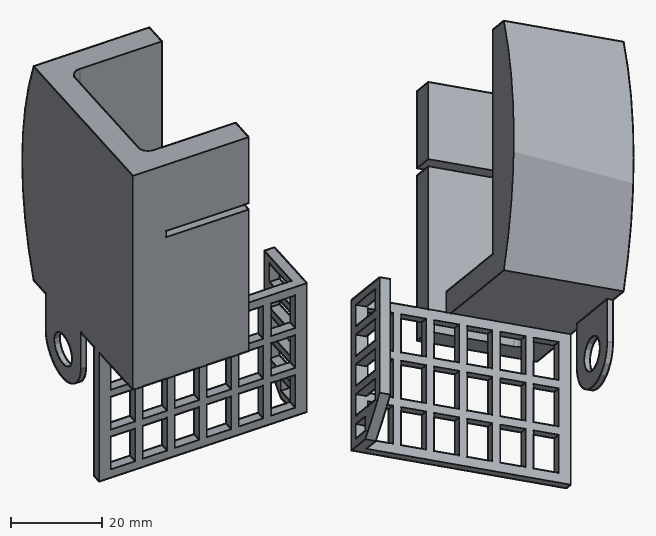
import cadquery as cq
import math

total_height = 94.75
total_depth = 52.0

housing_width = 45.2
housing_depth = 29.0
housing_bow = 5.2
back_wall = 6.0
right_wall = 6.0
left_wall = 5.8
floor_thickness = 6.0
channel_fillet = 2.4

slit_height = 1.7
slit_drop = 18.3

panel_height = 35.6
panel_thickness = 2.4
panel_inset = 15.35
panel_columns = 6
panel_rows = 3
panel_hole_width = 6.1
panel_hole_height = 9.0
panel_side_margin = 2.9
panel_pitch_z = 11.0

flange_width = 14.8
flange_thickness = 2.6
flange_corner_width = 7.5
flange_corner_height = 8.2
flange_corner_bow = 0.2
flange_border = 2.4
flange_bar = 2.0
full_window_count = 4
last_window_width = 4.8
last_window_height = 3.4

lug_width = 15.9
lug_thickness = 1.4
lug_inset = 31.7
lug_drop = 10.0
pin_diameter = 8.0

housing_bottom = panel_height
housing_height = total_height - housing_bottom
panel_right = housing_width - panel_inset
panel_left = panel_right - panel_thickness
flange_left = panel_right - flange_width
flange_front = total_depth - flange_thickness
panel_pitch_y = (total_depth - 2 * panel_side_margin - panel_hole_width) / (panel_columns - 1)
flange_pitch = (panel_height - 2 * flange_bar - last_window_height) / full_window_count


def box(x_range, y_range, z_range):
    """Axis-aligned box between the given (low, high) limits."""
    sizes = [high - low for low, high in (x_range, y_range, z_range)]
    corner = (x_range[0], y_range[0], z_range[0])
    return cq.Workplane("XY").box(*sizes, centered=False).translate(corner)


def extrude_along_y(profile, y_start, thickness):
    """Extrude a closed XZ profile toward +Y, starting at y_start."""
    return profile.extrude(-thickness).translate((0, y_start, 0))


def make_housing():
    profile = (
        cq.Workplane("XZ")
        .moveTo(0, housing_bottom)
        .lineTo(housing_width, housing_bottom)
        .lineTo(housing_width, total_height)
        .lineTo(0, total_height)
        .threePointArc((-housing_bow, housing_bottom + housing_height / 2), (0, housing_bottom))
        .close()
    )
    body = extrude_along_y(profile, 0, housing_depth)

    channel_right = housing_width - right_wall
    channel = box(
        (left_wall, channel_right),
        (back_wall, housing_depth),
        (housing_bottom, total_height),
    )
    channel = channel.edges("|Z and <Y").fillet(channel_fillet)

    floor = box(
        (left_wall, panel_right),
        (back_wall, housing_depth),
        (housing_bottom, housing_bottom + floor_thickness),
    )

    slit_top = total_height - slit_drop
    slit = box(
        (channel_right, housing_width),
        (back_wall + channel_fillet, housing_depth),
        (slit_top - slit_height, slit_top),
    )
    return body.cut(channel).cut(slit).union(floor)


def make_panel():
    panel = box((panel_left, panel_right), (0, total_depth), (0, panel_height))
    holes = (
        cq.Workplane("YZ", origin=(panel_left, total_depth / 2, panel_height / 2))
        .rarray(panel_pitch_y, panel_pitch_z, panel_columns, panel_rows)
        .rect(panel_hole_width, panel_hole_height)
        .extrude(panel_thickness)
    )
    return panel.cut(holes)


def make_flange():
    corner_start = (flange_left, flange_corner_height)
    corner_end = (flange_left + flange_corner_width, 0)
    corner_length = math.hypot(flange_corner_width, flange_corner_height)
    corner_middle = (
        flange_left + flange_corner_width / 2
        - flange_corner_bow * flange_corner_height / corner_length,
        flange_corner_height / 2
        - flange_corner_bow * flange_corner_width / corner_length,
    )
    profile = (
        cq.Workplane("XZ")
        .moveTo(flange_left, panel_height)
        .lineTo(*corner_start)
        .threePointArc(corner_middle, corner_end)
        .lineTo(panel_left, 0)
        .lineTo(panel_left, panel_height)
        .close()
    )
    flange = extrude_along_y(profile, flange_front, flange_thickness)

    flange_y = (flange_front, total_depth)
    for index in range(full_window_count):
        window_top = panel_height - flange_bar - index * flange_pitch
        window_bottom = window_top - (flange_pitch - flange_bar)
        window_x = (flange_left + flange_border, panel_left)
        flange = flange.cut(box(window_x, flange_y, (window_bottom, window_top)))

    last_window_x = (panel_left - last_window_width, panel_left)
    last_window_z = (flange_bar, flange_bar + last_window_height)
    return flange.cut(box(last_window_x, flange_y, last_window_z))


def make_lug():
    axis_x = housing_width - lug_inset
    axis_z = housing_bottom - lug_drop
    radius = lug_width / 2
    profile = (
        cq.Workplane("XZ")
        .moveTo(axis_x - radius, housing_bottom)
        .lineTo(axis_x - radius, axis_z)
        .threePointArc((axis_x, axis_z - radius), (axis_x + radius, axis_z))
        .lineTo(axis_x + radius, housing_bottom)
        .close()
    )
    lug = extrude_along_y(profile, 0, lug_thickness)
    pin_profile = cq.Workplane("XZ").center(axis_x, axis_z).circle(pin_diameter / 2)
    return lug.cut(extrude_along_y(pin_profile, 0, lug_thickness))


result = make_housing().union(make_panel()).union(make_flange()).union(make_lug())